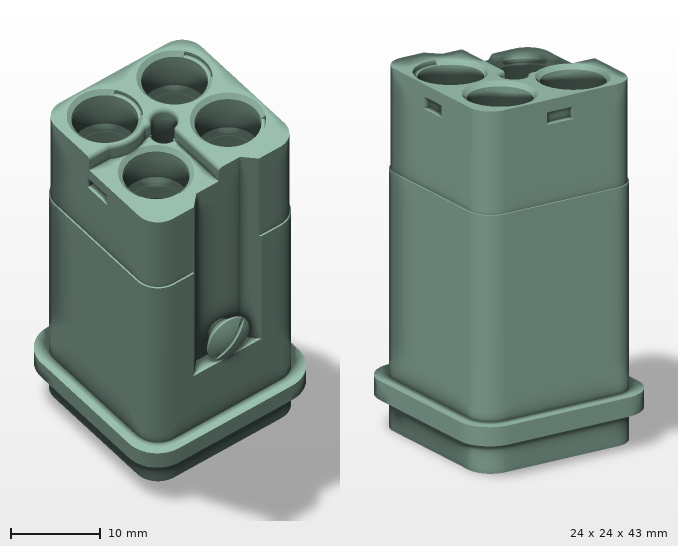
import cadquery as cq
import math

HEIGHT = 43.0
FLANGE_SIDE = 24.0
FLANGE_CORNER = 4.0
FLANGE_BOTTOM = 3.85
FLANGE_TOP = 6.15
BODY_SIDE = 21.0
BODY_CORNER = 2.92
HEAD_START = 30.7
HEAD_INSET = 0.2
HEAD_HALF = BODY_SIDE / 2 - HEAD_INSET

EDGE = 0.5

LEFT_X = -5.55
RIGHT_X = 3.35
LEFT_YS = (-4.9, 4.95)
RIGHT_YS = (-4.55, 5.6)
BORE_RADIUS = 3.75
RIM_RADIUS = BORE_RADIUS + EDGE
BORE_DEPTH = 5.0
LEDGE_BORE_DEPTH = 4.55
SEAT_RADIUS = 3.15
FUNNEL_RADIUS = 3.0
THROUGH_RADIUS = 2.0
KEY_SPAN = 72.0

LEDGE_Z = HEIGHT - 2.0
LEDGE_X = -1.45
LEDGE_Y = 0.1
COLLAR_RADIUS = RIM_RADIUS + EDGE

HOLE_X = -1.08
HOLE_RADIUS = 1.5

WINDOW_WIDTH = 3.53
WINDOW_HEIGHT = 1.45
WINDOW_DROP = 1.45
WINDOW_DEPTH = 0.77

RECESS_X = 8.77
RECESS_HALF_WIDTH = 3.1
SCREW_Z = 17.5
SHANK_RADIUS = 1.5
SHANK_ROOT = 0.45
CONE_START = 9.07
SCREW_RADIUS = 2.9
CONE_END = CONE_START + SCREW_RADIUS - SHANK_RADIUS
SCREW_RIM = 0.2
DOME_HEIGHT = 0.75
SLOT_WIDTH = 0.7
SLOT_ANGLE = 45.0


def column(side, corner, bottom, top):
    """Square column with rounded vertical edges."""
    block = cq.Workplane("XY").workplane(offset=bottom).rect(side, side).extrude(top - bottom)
    return block.edges("|Z").fillet(corner)


def cylinder(x, y, radius, bottom, top):
    return cq.Workplane("XY").workplane(offset=bottom).center(x, y).circle(radius).extrude(top - bottom)


def ledge_cutter():
    """Space above the lowered quadrant, leaving the collar of the nearest socket standing."""
    size = FLANGE_SIDE
    quadrant = (
        cq.Workplane("XY").workplane(offset=LEDGE_Z)
        .moveTo(LEDGE_X, LEDGE_Y).lineTo(size, LEDGE_Y).lineTo(size, -size).lineTo(LEDGE_X, -size)
        .close().extrude(HEIGHT)
    )
    return quadrant.cut(cylinder(LEFT_X, LEFT_YS[0], COLLAR_RADIUS, 0, 2 * HEIGHT))


def socket_cutter(x, y, top, depth, key_start):
    """Stepped bore with a chamfered rim; over the key span the rim is a flat-floored step."""
    bore_end = top - depth
    seat = bore_end - (BORE_RADIUS - SEAT_RADIUS)
    funnel_end = seat - (FUNNEL_RADIUS - THROUGH_RADIUS)
    profile = [
        (0, top), (RIM_RADIUS, top), (BORE_RADIUS, top - EDGE), (BORE_RADIUS, bore_end),
        (SEAT_RADIUS, seat), (FUNNEL_RADIUS, seat), (THROUGH_RADIUS, funnel_end),
        (THROUGH_RADIUS, 0), (0, 0),
    ]
    bore = cq.Workplane("XZ").polyline(profile).close().revolve(360, (0, 0), (0, 1))
    key = (
        cq.Workplane("XZ").moveTo(0, top - EDGE).rect(RIM_RADIUS, EDGE, centered=False)
        .revolve(KEY_SPAN, (0, 0), (0, 1))
        .rotate((0, 0, 0), (0, 0, 1), key_start)
    )
    return bore.union(key).translate((x, y, 0))


def ledge_hole_rim_cutter():
    """Rounds over the part of the centre hole's rim that lies on the ledge."""
    rim = HOLE_RADIUS + EDGE
    sag = EDGE * (1 - math.sqrt(0.5))
    ring = (
        cq.Workplane("XZ").moveTo(0, LEDGE_Z).lineTo(rim, LEDGE_Z)
        .threePointArc((HOLE_RADIUS + sag, LEDGE_Z - sag), (HOLE_RADIUS, LEDGE_Z - EDGE))
        .lineTo(0, LEDGE_Z - EDGE).close()
        .revolve(360, (0, 0), (0, 1))
        .translate((HOLE_X, 0, 0))
    )
    return ring.intersect(ledge_cutter().translate((0, 0, -EDGE)))


def window_cutter(wall_top, turn):
    """Shallow rectangular pocket in the -X wall of the head, turned about the vertical axis."""
    pocket = cq.Workplane("XY").box(
        WINDOW_DEPTH, WINDOW_WIDTH, WINDOW_HEIGHT, centered=(False, True, False)
    )
    bottom = wall_top - WINDOW_DROP - WINDOW_HEIGHT
    return pocket.translate((-HEAD_HALF, 0, bottom)).rotate((0, 0, 0), (0, 0, 1), turn)


def recess_cutter():
    """Channel with 45-degree flanks, running from below the screw up through the top."""
    outer_x = FLANGE_SIDE / 2
    outer_half = RECESS_HALF_WIDTH + outer_x - RECESS_X
    bottom = SCREW_Z - RECESS_HALF_WIDTH
    return (
        cq.Workplane("XY").workplane(offset=bottom)
        .moveTo(RECESS_X, -RECESS_HALF_WIDTH).lineTo(outer_x, -outer_half)
        .lineTo(outer_x, outer_half).lineTo(RECESS_X, RECESS_HALF_WIDTH)
        .close().extrude(HEIGHT - bottom)
    )


def screw():
    """Countersunk screw with a domed, slotted head, lying along X."""
    rim_end = CONE_END + SCREW_RIM
    tip = rim_end + DOME_HEIGHT
    dome_radius = (SCREW_RADIUS**2 + DOME_HEIGHT**2) / (2 * DOME_HEIGHT)
    mid_radius = SCREW_RADIUS / 2
    mid_x = tip - dome_radius + math.sqrt(dome_radius**2 - mid_radius**2)
    shank_start = RECESS_X - SHANK_ROOT
    body = (
        cq.Workplane("XY").moveTo(shank_start, 0).lineTo(shank_start, SHANK_RADIUS)
        .lineTo(CONE_START, SHANK_RADIUS).lineTo(CONE_END, SCREW_RADIUS).lineTo(rim_end, SCREW_RADIUS)
        .threePointArc((mid_x, mid_radius), (tip, 0)).close()
        .revolve(360, (0, 0), (1, 0))
    )
    slot = cq.Workplane("XY").box(DOME_HEIGHT, 2 * SCREW_RADIUS, SLOT_WIDTH, centered=(False, True, True))
    slot = slot.translate((rim_end, 0, 0)).rotate((0, 0, 0), (1, 0, 0), SLOT_ANGLE)
    return body.cut(slot).translate((0, 0, SCREW_Z))


part = column(BODY_SIDE, BODY_CORNER, 0, HEAD_START)
part = part.union(column(FLANGE_SIDE, FLANGE_CORNER, FLANGE_BOTTOM, FLANGE_TOP))
part = part.union(column(2 * HEAD_HALF, BODY_CORNER - HEAD_INSET, HEAD_START, HEIGHT))

part = part.cut(ledge_cutter())
part = part.cut(cylinder(HOLE_X, 0, HOLE_RADIUS, 0, HEIGHT))

hole_reach = HOLE_RADIUS + EDGE
around_hole = cq.selectors.BoxSelector(
    (HOLE_X - hole_reach, -hole_reach, LEDGE_Z), (HOLE_X + hole_reach, hole_reach, HEIGHT)
)
part = part.edges(around_hole).edges("|Z").fillet(EDGE)

inside_outline = cq.selectors.BoxSelector(
    (HOLE_X - hole_reach, EDGE - HEAD_HALF, LEDGE_Z), (HEAD_HALF, hole_reach, HEIGHT + EDGE)
)
part = part.faces(">Z").edges(inside_outline).fillet(EDGE)
part = part.cut(ledge_hole_rim_cutter())

for x, y, top, depth, key_start in (
    (LEFT_X, LEFT_YS[0], HEIGHT, BORE_DEPTH, 55),
    (LEFT_X, LEFT_YS[1], HEIGHT, BORE_DEPTH, 55),
    (RIGHT_X, RIGHT_YS[0], LEDGE_Z, LEDGE_BORE_DEPTH, -67),
    (RIGHT_X, RIGHT_YS[1], HEIGHT, BORE_DEPTH, -10),
):
    part = part.cut(socket_cutter(x, y, top, depth, key_start))

for wall_top, turn in ((HEIGHT, 0), (LEDGE_Z, 90), (HEIGHT, -90)):
    part = part.cut(window_cutter(wall_top, turn))

part = part.cut(recess_cutter())
result = part.union(screw())